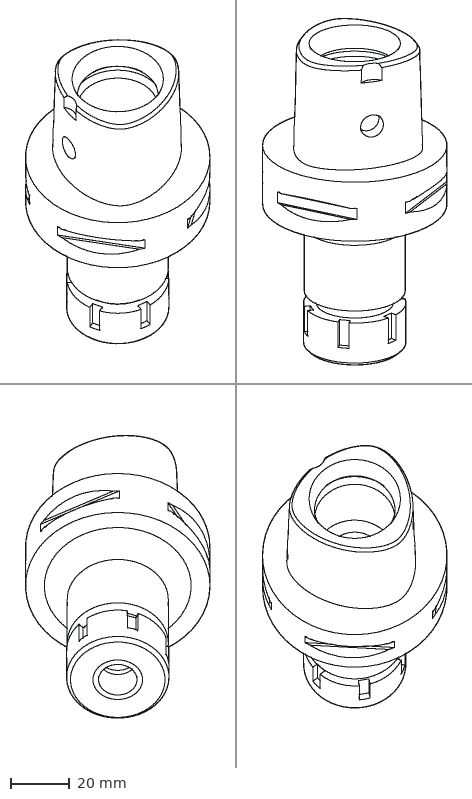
import cadquery as cq
import math

TOTAL_HEIGHT = 113.0
SHANK_LENGTH = 38.0
FLANGE_HEIGHT = 22.0
FLANGE_TOP_Z = TOTAL_HEIGHT - SHANK_LENGTH
FLANGE_BOTTOM_Z = FLANGE_TOP_Z - FLANGE_HEIGHT
COLLAR_BOTTOM_Z = 20.7
NUT_HEIGHT = 16.3
SEAT_Z = 4.5

FLANGE_RADIUS = 31.5
COLLAR_RADIUS = 17.3
NECK_RADIUS = 13.2
CONE_HEIGHT = 7.8
CONE_RADIUS = COLLAR_RADIUS + CONE_HEIGHT

SHANK_BASE_RADIUS = 22.0
SHANK_TAPER = 1 / 40
LOBE_HEIGHT = 1.5
LOBE_COUNT = 3
LOBE_ANGLE = math.pi / 2
SHANK_CHAMFER_HEIGHT = 1.4
SHANK_CHAMFER_INSET = 0.9
OUTLINE_POINTS = 24

BORE_RADIUS = 13.8
MOUTH_RADIUS = 15.6
MOUTH_DEPTH = 6.3
GROOVE_RADIUS = 15.7
GROOVE_TOP_DEPTH = 7.9
GROOVE_BOTTOM_DEPTH = 13.7
GROOVE_FLANK = GROOVE_RADIUS - BORE_RADIUS
BORE_DEPTH = SHANK_LENGTH
THROUGH_RADIUS = 9.0

NOTCH_RADIUS = 5.0
NOTCH_FLOOR_Y = -17.9
NOTCH_DEPTH = 6.1
SIDE_HOLE_RADIUS = 4.1
SIDE_HOLE_Z = 90.6
SIDE_HOLE_FLOOR_Y = -14.7

SLOT_COUNT = 4
SLOT_Z = 63.2
SLOT_FLOOR_RADIUS = 27.6
SLOT_FLOOR_HEIGHT = 4.1
SLOT_FLANK_RADIUS = 28.5
SLOT_FLANK_ANGLE = 30.0

NUT_RADIUS = 17.5
NUT_CHAMFER = 1.4
WRENCH_SLOT_COUNT = 6
WRENCH_SLOT_WIDTH = 3.7
WRENCH_SLOT_HEIGHT = 9.5
WRENCH_SLOT_FLOOR_RADIUS = 15.4

COLLET_RADIUS = 10.5
COLLET_TAPER_ANGLE = 8.0
COLLET_TOP_Z = SEAT_Z + (COLLET_RADIUS - THROUGH_RADIUS) / math.tan(math.radians(COLLET_TAPER_ANGLE))
NOSE_RADIUS = 8.5
NOSE_HEIGHT = SEAT_Z - (COLLET_RADIUS - NOSE_RADIUS)
COLLET_BORE_RADIUS = 6.5
COLLET_RELIEF_RADIUS = 7.3
COLLET_RELIEF_DEPTH = 3.4


def revolve_profile(points):
    """Solid of revolution about Z from (radius, z) points."""
    return cq.Workplane("XZ").polyline(points).close().revolve(360, (0, 0, 0), (0, 1, 0))


def lobed_outline(mean_radius, z):
    """Closed three-lobed curve of constant width, given by its support function."""
    points = []
    for i in range(OUTLINE_POINTS):
        angle = 2 * math.pi * i / OUTLINE_POINTS - LOBE_ANGLE
        phase = LOBE_COUNT * (angle - LOBE_ANGLE)
        support = mean_radius + LOBE_HEIGHT * math.cos(phase)
        slope = -LOBE_COUNT * LOBE_HEIGHT * math.sin(phase)
        x = support * math.cos(angle) - slope * math.sin(angle)
        y = support * math.sin(angle) + slope * math.cos(angle)
        points.append(cq.Vector(x, y, z))
    return cq.Wire.assembleEdges([cq.Edge.makeSpline(points, periodic=True)])


def make_shank():
    """Tapered shank with a chamfered end, ruled between three lobed outlines."""
    chamfer_z = TOTAL_HEIGHT - SHANK_CHAMFER_HEIGHT
    chamfer_radius = SHANK_BASE_RADIUS - SHANK_TAPER * (chamfer_z - FLANGE_TOP_Z)
    outlines = [
        lobed_outline(SHANK_BASE_RADIUS, FLANGE_TOP_Z),
        lobed_outline(chamfer_radius, chamfer_z),
        lobed_outline(chamfer_radius - SHANK_CHAMFER_INSET, TOTAL_HEIGHT),
    ]
    return cq.Workplane(cq.Solid.makeLoft(outlines, True))


def make_lower_holder():
    """Flange, cone, collar and the neck that enters the nut."""
    return revolve_profile([
        (0, FLANGE_TOP_Z),
        (FLANGE_RADIUS, FLANGE_TOP_Z),
        (FLANGE_RADIUS, FLANGE_BOTTOM_Z),
        (CONE_RADIUS, FLANGE_BOTTOM_Z),
        (COLLAR_RADIUS, FLANGE_BOTTOM_Z - CONE_HEIGHT),
        (COLLAR_RADIUS, COLLAR_BOTTOM_Z),
        (NECK_RADIUS, COLLAR_BOTTOM_Z),
        (NECK_RADIUS, SEAT_Z),
        (0, SEAT_Z),
    ])


def holder_cavity():
    """Mouth cone, locking groove, main bore, through hole and collet taper."""
    top = TOTAL_HEIGHT
    return revolve_profile([
        (0, top),
        (MOUTH_RADIUS, top),
        (BORE_RADIUS, top - MOUTH_DEPTH),
        (BORE_RADIUS, top - GROOVE_TOP_DEPTH),
        (GROOVE_RADIUS, top - GROOVE_TOP_DEPTH - GROOVE_FLANK),
        (GROOVE_RADIUS, top - GROOVE_BOTTOM_DEPTH + GROOVE_FLANK),
        (BORE_RADIUS, top - GROOVE_BOTTOM_DEPTH),
        (BORE_RADIUS, top - BORE_DEPTH),
        (THROUGH_RADIUS, top - BORE_DEPTH),
        (THROUGH_RADIUS, COLLET_TOP_Z),
        (COLLET_RADIUS, SEAT_Z),
        (0, SEAT_Z),
    ])


def key_notch():
    notch = cq.Workplane("XY", origin=(0, NOTCH_FLOOR_Y - NOTCH_RADIUS, TOTAL_HEIGHT - NOTCH_DEPTH))
    return notch.circle(NOTCH_RADIUS).extrude(NOTCH_DEPTH)


def side_hole():
    hole = cq.Workplane("XZ", origin=(0, SIDE_HOLE_FLOOR_Y, SIDE_HOLE_Z))
    return hole.circle(SIDE_HOLE_RADIUS).extrude(FLANGE_RADIUS + SIDE_HOLE_FLOOR_Y)


def gripper_slot():
    """Slot along the +X side of the flange: a flat floor, short ledges and flaring flanks."""
    half_floor = SLOT_FLOOR_HEIGHT / 2
    half_mouth = half_floor + (FLANGE_RADIUS - SLOT_FLANK_RADIUS) * math.tan(math.radians(SLOT_FLANK_ANGLE))
    section = cq.Workplane("XZ", origin=(0, 0, SLOT_Z)).polyline([
        (SLOT_FLOOR_RADIUS, -half_floor),
        (SLOT_FLANK_RADIUS, -half_floor),
        (FLANGE_RADIUS, -half_mouth),
        (FLANGE_RADIUS, half_mouth),
        (SLOT_FLANK_RADIUS, half_floor),
        (SLOT_FLOOR_RADIUS, half_floor),
    ])
    return section.close().extrude(FLANGE_RADIUS, both=True)


def make_holder():
    holder = make_lower_holder().union(make_shank())
    holder = holder.cut(holder_cavity()).cut(key_notch()).cut(side_hole())
    pitch = 360 / SLOT_COUNT
    for i in range(SLOT_COUNT):
        holder = holder.cut(gripper_slot().rotate((0, 0, 0), (0, 0, 1), pitch * (i + 0.5)))
    return holder


def wrench_slot():
    depth = NUT_RADIUS - WRENCH_SLOT_FLOOR_RADIUS
    origin = (WRENCH_SLOT_FLOOR_RADIUS + depth / 2, 0, NUT_HEIGHT - WRENCH_SLOT_HEIGHT)
    slot = cq.Workplane("XY", origin=origin).rect(depth, WRENCH_SLOT_WIDTH)
    return slot.extrude(WRENCH_SLOT_HEIGHT)


def make_nut():
    nut = revolve_profile([
        (NOSE_RADIUS, 0),
        (NUT_RADIUS - NUT_CHAMFER, 0),
        (NUT_RADIUS, NUT_CHAMFER),
        (NUT_RADIUS, NUT_HEIGHT),
        (NECK_RADIUS, NUT_HEIGHT),
        (NECK_RADIUS, SEAT_Z),
        (COLLET_RADIUS, SEAT_Z),
        (NOSE_RADIUS, NOSE_HEIGHT),
    ])
    pitch = 360 / WRENCH_SLOT_COUNT
    for i in range(WRENCH_SLOT_COUNT):
        nut = nut.cut(wrench_slot().rotate((0, 0, 0), (0, 0, 1), pitch * i))
    return nut


def make_collet():
    relief_z = COLLET_TOP_Z - COLLET_RELIEF_DEPTH
    return revolve_profile([
        (COLLET_BORE_RADIUS, 0),
        (NOSE_RADIUS, 0),
        (NOSE_RADIUS, NOSE_HEIGHT),
        (COLLET_RADIUS, SEAT_Z),
        (THROUGH_RADIUS, COLLET_TOP_Z),
        (COLLET_RELIEF_RADIUS, COLLET_TOP_Z),
        (COLLET_RELIEF_RADIUS, relief_z),
        (COLLET_BORE_RADIUS, relief_z),
    ])


holder = make_holder()
nut = make_nut()
collet = make_collet()

result = cq.Compound.makeCompound([holder.val(), nut.val(), collet.val()])